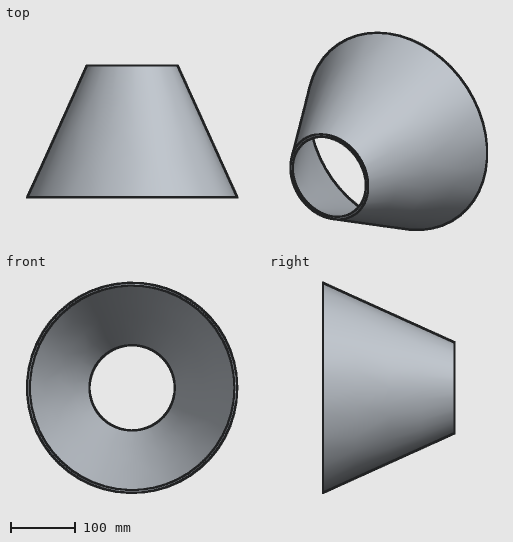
import cadquery as cq

length = 203.0
wide_radius = 162.0
narrow_radius = 70.0
radial_wall = 4.5

half_length = length / 2

wall_section = (
    cq.Workplane("XY")
    .moveTo(wide_radius - radial_wall, -half_length)
    .lineTo(wide_radius, -half_length)
    .lineTo(narrow_radius, half_length)
    .lineTo(narrow_radius - radial_wall, half_length)
    .close()
)

result = wall_section.revolve(360, (0, 0, 0), (0, 1, 0))